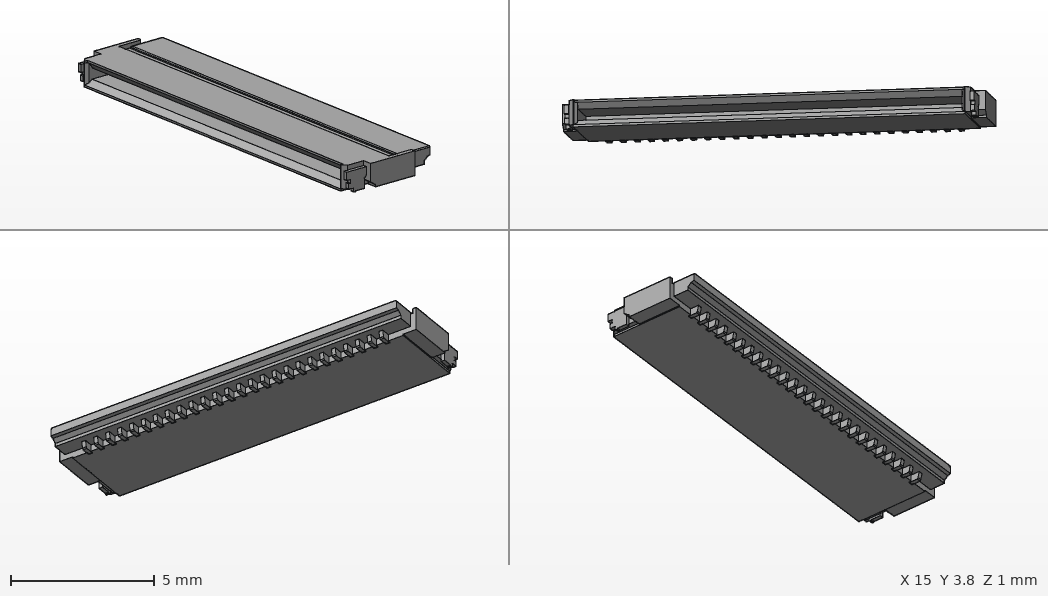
import cadquery as cq

LENGTH = 15.0
DEPTH = 3.8
HEIGHT = 1.0

FLOOR_Z = 0.03
EAR_FLOOR_Z = 0.08
NOSE_FLOOR_Z = 0.12
NOSE_HALF = 7.12
PANEL_HALF = 6.95
EAR_FRONT_Y = 0.9
EAR_REAR_Y = 2.92
EAR_CHAMFER_DEPTH = 0.22
EAR_CHAMFER_TOP_Z = 0.32
EAR_CHAMFER_BOTTOM_Z = 0.16
NOSE_CORNER_DEPTH = 0.17
UPPER_LIP_Y = 0.12

SLOT_HALF = 6.82
SLOT_DEPTH = 1.7
MOUTH_TOP_Z = 0.92
MOUTH_BOTTOM_Z = 0.11
SLOT_TOP_Z = 0.7
SLOT_BOTTOM_Z = 0.3
LOWER_LEAD_IN = 0.25
UPPER_LEAD_IN = 0.16
MOUTH_FLARE = 0.1
MOUTH_FLARE_DEPTH = 0.12

RECESS_HALF = 7.31
RECESS_FRONT_Y = 1.88
RECESS_Z = 0.82
RECESS_CORNER = 0.06
ACTUATOR_HALF = 7.27
ACTUATOR_FRONT_Y = 2.37
ACTUATOR_TOP_Z = 0.91
ACTUATOR_BOTTOM_Z = 0.29
ACTUATOR_LOWER_REAR_Y = 3.53
ACTUATOR_STEP_Z = 0.42
ACTUATOR_KNEE_Y = 3.68
ACTUATOR_KNEE_Z = 0.55
ACTUATOR_REAR_BOTTOM_Z = 0.59
ACTUATOR_EDGE = 0.04

CONTACT_COUNT = 26
CONTACT_PITCH = 0.5
CONTACT_WIDTH = 0.16
CONTACT_FRONT_Y = 2.83
CONTACT_REAR_Y = 3.22
CONTACT_TOE_CHAMFER = 0.03
CONTACT_TOE_Z = 0.05
CONTACT_LEAN = 0.05

TAB_INNER_X = NOSE_HALF
TAB_OUTER_X = 7.27
TAB_TOP_Z = 0.82
TAB_REAR_Y = 0.81
TAB_STEP_TOP_Z = 0.5
TAB_STEP_BOTTOM_Z = 0.42
TAB_NOTCH_Y = 0.18
TAB_NOTCH_TOP_Z = 0.51
TAB_NOTCH_BOTTOM_Z = 0.37
TAB_LOWER_FRONT_Y = 0.09
TAB_TOE_Y = 0.32
TAB_TOE_TOP_Z = 0.16
TAB_FOOT_FRONT_Y = 0.34
TAB_FOOT_REAR_Y = 0.4
TAB_FOOT_SLOPE = 0.03


def x_prism(points, half_width):
    """Prism along X, centred on X = 0, from (Y, Z) corner points."""
    return cq.Workplane("YZ").polyline(points).close().extrude(half_width, both=True)


def block(half_width, y_front, y_rear, z_bottom, z_top):
    """Box centred on X = 0."""
    points = [(y_front, z_bottom), (y_rear, z_bottom), (y_rear, z_top), (y_front, z_top)]
    return x_prism(points, half_width)


def make_housing():
    """Side ears, narrower nose with cut corners, floor panel and set-back upper lip."""
    ears = x_prism(
        [
            (EAR_FRONT_Y, HEIGHT),
            (EAR_FRONT_Y, EAR_CHAMFER_TOP_Z),
            (EAR_FRONT_Y + EAR_CHAMFER_DEPTH, EAR_CHAMFER_BOTTOM_Z),
            (EAR_FRONT_Y + EAR_CHAMFER_DEPTH, EAR_FLOOR_Z),
            (EAR_REAR_Y, EAR_FLOOR_Z),
            (EAR_REAR_Y, HEIGHT),
        ],
        LENGTH / 2,
    )
    nose = (
        cq.Workplane("XY")
        .workplane(offset=NOSE_FLOOR_Z)
        .polyline(
            [
                (-PANEL_HALF, 0),
                (PANEL_HALF, 0),
                (NOSE_HALF, NOSE_CORNER_DEPTH),
                (NOSE_HALF, EAR_REAR_Y),
                (-NOSE_HALF, EAR_REAR_Y),
                (-NOSE_HALF, NOSE_CORNER_DEPTH),
            ]
        )
        .close()
        .extrude(HEIGHT - NOSE_FLOOR_Z)
    )
    panel = block(PANEL_HALF, 0, EAR_REAR_Y, FLOOR_Z, NOSE_FLOOR_Z)
    lip_setback = block(SLOT_HALF + MOUTH_FLARE, 0, UPPER_LIP_Y, MOUTH_TOP_Z, HEIGHT)
    return ears.union(nose).union(panel).cut(lip_setback)


def make_slot():
    """Cable slot with sloped lead-ins above and below and flared mouth sides."""
    mouth_profile = [
        (0, MOUTH_TOP_Z),
        (0, MOUTH_BOTTOM_Z),
        (LOWER_LEAD_IN, SLOT_BOTTOM_Z),
    ]
    upper_profile = [
        (UPPER_LIP_Y + UPPER_LEAD_IN, SLOT_TOP_Z),
        (UPPER_LIP_Y, MOUTH_TOP_Z),
    ]
    slot_end = [(SLOT_DEPTH, SLOT_BOTTOM_Z), (SLOT_DEPTH, SLOT_TOP_Z)]
    slot = x_prism(mouth_profile + slot_end + upper_profile, SLOT_HALF)
    lead_in = x_prism(mouth_profile + upper_profile, NOSE_HALF)
    flare = (
        cq.Workplane("XY")
        .workplane(offset=MOUTH_BOTTOM_Z)
        .polyline(
            [
                (-SLOT_HALF - MOUTH_FLARE, 0),
                (SLOT_HALF + MOUTH_FLARE, 0),
                (SLOT_HALF, MOUTH_FLARE_DEPTH),
                (-SLOT_HALF, MOUTH_FLARE_DEPTH),
            ]
        )
        .close()
        .extrude(MOUTH_TOP_Z - MOUTH_BOTTOM_Z)
    )
    return slot.union(flare.intersect(lead_in))


def make_recess():
    """Shallow recess open to the rear, widened by a small chamfer at each rear corner."""
    outline = [
        (-RECESS_HALF, RECESS_FRONT_Y),
        (RECESS_HALF, RECESS_FRONT_Y),
        (RECESS_HALF, EAR_REAR_Y - RECESS_CORNER),
        (RECESS_HALF + RECESS_CORNER, EAR_REAR_Y),
        (-RECESS_HALF - RECESS_CORNER, EAR_REAR_Y),
        (-RECESS_HALF, EAR_REAR_Y - RECESS_CORNER),
    ]
    plane = cq.Workplane("XY").workplane(offset=RECESS_Z)
    return plane.polyline(outline).close().extrude(HEIGHT - RECESS_Z)


def make_actuator():
    """Rear lever with a stepped underside and chamfered top edges."""
    actuator = x_prism(
        [
            (ACTUATOR_FRONT_Y, ACTUATOR_BOTTOM_Z),
            (ACTUATOR_LOWER_REAR_Y, ACTUATOR_BOTTOM_Z),
            (ACTUATOR_LOWER_REAR_Y, ACTUATOR_STEP_Z),
            (ACTUATOR_KNEE_Y, ACTUATOR_KNEE_Z),
            (DEPTH, ACTUATOR_REAR_BOTTOM_Z),
            (DEPTH, ACTUATOR_TOP_Z),
            (ACTUATOR_FRONT_Y, ACTUATOR_TOP_Z),
        ],
        ACTUATOR_HALF,
    )
    return actuator.faces(">Z").edges("|Y or <Y").chamfer(ACTUATOR_EDGE)


def make_contact(x):
    """Solder tail below the actuator, with a leaning rear edge."""
    contact = x_prism(
        [
            (CONTACT_FRONT_Y, 0),
            (CONTACT_REAR_Y - CONTACT_TOE_CHAMFER, 0),
            (CONTACT_REAR_Y, CONTACT_TOE_Z),
            (CONTACT_REAR_Y + CONTACT_LEAN, ACTUATOR_BOTTOM_Z),
            (CONTACT_FRONT_Y, ACTUATOR_BOTTOM_Z),
        ],
        CONTACT_WIDTH / 2,
    )
    return contact.translate((x, 0, 0))


def make_tab():
    """Flat hold-down tab on the +X side, with a notch in its front edge and a small solder foot."""
    outline = [
        (0, TAB_TOP_Z),
        (EAR_FRONT_Y, TAB_TOP_Z),
        (EAR_FRONT_Y, TAB_STEP_TOP_Z),
        (TAB_REAR_Y, TAB_STEP_BOTTOM_Z),
        (TAB_REAR_Y, FLOOR_Z),
        (TAB_FOOT_REAR_Y + TAB_FOOT_SLOPE, FLOOR_Z),
        (TAB_FOOT_REAR_Y, 0),
        (TAB_FOOT_FRONT_Y, 0),
        (TAB_TOE_Y, FLOOR_Z),
        (TAB_TOE_Y, TAB_TOE_TOP_Z),
        (TAB_LOWER_FRONT_Y, TAB_TOE_TOP_Z),
        (TAB_LOWER_FRONT_Y, TAB_NOTCH_BOTTOM_Z),
        (TAB_NOTCH_Y, TAB_NOTCH_BOTTOM_Z),
        (TAB_NOTCH_Y, TAB_NOTCH_TOP_Z),
        (0, TAB_NOTCH_TOP_Z),
    ]
    plane = cq.Workplane("YZ").workplane(offset=TAB_INNER_X)
    return plane.polyline(outline).close().extrude(TAB_OUTER_X - TAB_INNER_X)


recess = make_recess()
tab = make_tab()
result = make_housing().cut(make_slot()).cut(recess).union(make_actuator())
first_contact_x = -(CONTACT_COUNT - 1) / 2 * CONTACT_PITCH
for index in range(CONTACT_COUNT):
    result = result.union(make_contact(first_contact_x + index * CONTACT_PITCH))
result = result.union(tab).union(tab.mirror("YZ"))